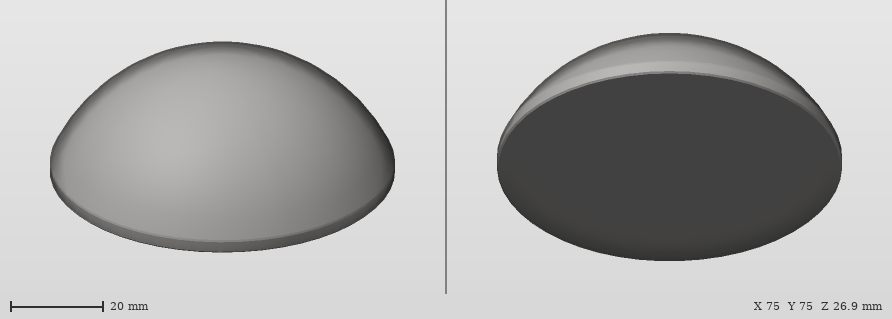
import cadquery as cq

diameter = 75.0
height = 26.85
rim_height = 3.15
edge_break = 0.4
shoulder_height = 0.45
shoulder_inset = 0.15

radius = diameter / 2
dome_foot_radius = radius - shoulder_inset
dome_rise = height - rim_height
sphere_radius = (dome_foot_radius**2 + dome_rise**2) / (2 * dome_rise)
sphere_center_z = height - sphere_radius

mid_radius = dome_foot_radius / 2
mid_z = sphere_center_z + (sphere_radius**2 - mid_radius**2) ** 0.5

half_section = (
    cq.Workplane("XZ")
    .moveTo(0, 0)
    .lineTo(radius - edge_break, 0)
    .lineTo(radius, edge_break)
    .lineTo(radius, rim_height - shoulder_height)
    .lineTo(dome_foot_radius, rim_height)
    .threePointArc((mid_radius, mid_z), (0, height))
    .close()
)

result = half_section.revolve(360, (0, 0, 0), (0, 1, 0))